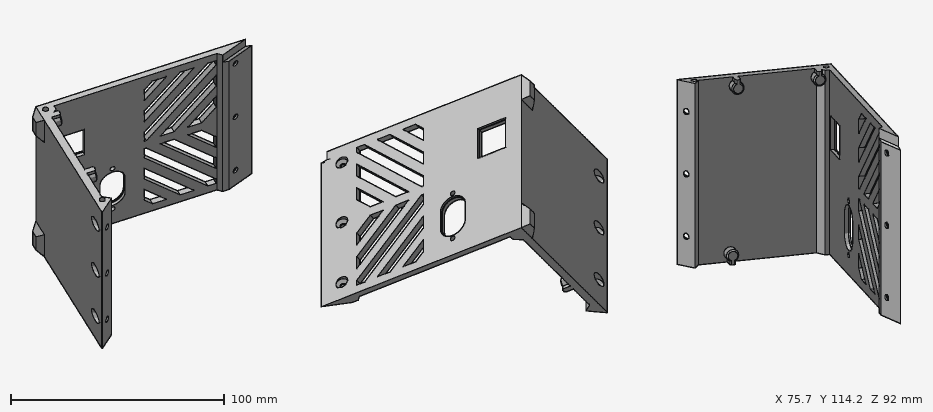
import cadquery as cq
import math

height = 92.0
mid_height = height / 2
front_length = 75.7
foot_depth = 3.0
overall_depth = 114.2
side_length = overall_depth - foot_depth

side_wall = 3.1
front_wall = 4.1
corner_block_depth = 8.1
corner_block_width = 5.4
brace_run = 3.0

wedge_angle = 20
wedge_depth = 5.1
wedge_start = 91.8
notch_setback = 3.2
notch_height = 4.8
notch_ledge_drop = 0.8

ridge_start = 66.4
ridge_peak_x = 69.2
ridge_peak_y = 8
ridge_tip_bevel = 0.3

side_screw_spacing = 36.0
front_screw_spacing = 31.1
screw_diameter = 3.0
screw_head_diameter = 6.0
screw_cone_depth = (screw_head_diameter - screw_diameter) / 2
side_screw_y = 99.8
side_screw_seat = 1.4
front_screw_x = 68.2
front_screw_angle = 45
front_screw_seat = 3.7
screw_length = 17.1

foot_width = 9.8
foot_height = 15.0

edge_hole_diameter = 2.7
edge_hole_depth = 5.9
edge_hole_y = 3.5
edge_hole_xs = (3.4, 68.3)

standoff_diameter = 6.0
standoff_top = 8.9
standoff_chamfer = 0.7
standoff_rib_width = 2.7
standoff_inset = 4.5
standoff_centres = (
    (8, height - standoff_inset),
    (48.2, height - standoff_inset),
    (50.8, standoff_inset),
)

vent_near_y = 54.5
vent_far_y = 91.5
vent_margin = 4.7
vent_web = 5.1
vent_slot_angle = 45
vent_slot_width = 5.0
vent_slot_pitch = 10.0
vent_slot_shift = 1.1
vent_slot_count = 5

lip_width = 0.5
lip_depth = 1.0
window_y = 16.6
window_z = 61.0
window_width = 14.5
window_height = 16.9
inlet_y = 38.2
inlet_z = 23.4
inlet_width = 12.9
inlet_height = 22.4
inlet_screw_diameter = 2.5
inlet_screw_spacing = 27.1

cut_margin = 5.7


def make_walls():
    """L-shaped plan outline with corner block, wedge and ridge, extruded to full height."""
    wedge_end = side_length - wedge_depth / math.tan(math.radians(wedge_angle))
    wedge_rise = wedge_depth - side_wall
    outline = [
        (0, 0),
        (front_length - ridge_tip_bevel, 0),
        (front_length, ridge_tip_bevel),
        (ridge_peak_x, ridge_peak_y),
        (ridge_start, front_wall),
        (corner_block_width + brace_run, front_wall),
        (corner_block_width, corner_block_depth),
        (side_wall, corner_block_depth),
        (side_wall, wedge_start),
        (wedge_depth, wedge_start + wedge_rise),
        (wedge_depth, wedge_end),
        (0, side_length),
    ]
    return cq.Workplane("XY").polyline(outline).close().extrude(height)


def make_wedge_notch():
    """Cutter that sets back the top of the wedge's sloped face, above a ledge that falls outward."""
    slope = math.radians(wedge_angle)
    setback = notch_setback * math.sin(slope)
    across_face = cq.Plane(
        origin=(0, side_length, height),
        xDir=(math.cos(slope), math.sin(slope), 0),
        normal=(math.sin(slope), -math.cos(slope), 0),
    )
    profile = [
        (-setback, cut_margin),
        (-setback, -notch_height),
        (0, -notch_height - notch_ledge_drop),
        (cut_margin, -notch_height - notch_ledge_drop),
        (cut_margin, cut_margin),
    ]
    face_length = wedge_depth / math.sin(slope)
    return (
        cq.Workplane(across_face)
        .workplane(offset=-cut_margin)
        .polyline(profile)
        .close()
        .extrude(face_length + 2 * cut_margin)
    )


def make_foot(z_bottom):
    """Pyramid-shaped foot with 45 degree sides on the outer face of the front wall."""
    return (
        cq.Workplane("XZ", origin=(foot_width / 2, 0, z_bottom + foot_height / 2))
        .rect(foot_width, foot_height)
        .workplane(offset=foot_depth)
        .rect(foot_width - 2 * foot_depth, foot_height - 2 * foot_depth)
        .loft()
    )


def make_standoff(x, z):
    """Round standoff with a rib running to the nearer end of the wall; the free end is chamfered."""
    toward_end = 1 if z > mid_height else -1
    rib_length = standoff_inset + cut_margin
    base = cq.Workplane("XZ", origin=(x, 0, z))
    post = base.circle(standoff_diameter / 2).extrude(-standoff_top)
    rib = (
        base.center(0, toward_end * rib_length / 2)
        .rect(standoff_rib_width, rib_length)
        .extrude(-standoff_top)
    )
    standoff = post.union(rib).faces(">Y").chamfer(standoff_chamfer)
    wall_height_band = cq.Workplane("XY").rect(2 * front_length, 2 * side_length).extrude(height)
    return standoff.intersect(wall_height_band)


def make_screw_cutter(x, y, z, direction, seat_depth):
    """Head bore, cone and shank as one revolved cutter along the given direction in plan."""
    head_radius = screw_head_diameter / 2
    shank_radius = screw_diameter / 2
    cone_end = seat_depth + screw_cone_depth
    axis = cq.Plane(origin=(x, y, z), xDir=(0, 0, 1), normal=(-direction[1], direction[0], 0))
    profile = [
        (0, -cut_margin),
        (head_radius, -cut_margin),
        (head_radius, seat_depth),
        (shank_radius, cone_end),
        (shank_radius, screw_length),
        (0, screw_length),
    ]
    return cq.Workplane(axis).polyline(profile).close().revolve(360, (0, 0), (0, 1))


def make_screw_cutters():
    """Three screws square to the wedge's sloped face and three leaning through the ridge."""
    wedge_slope = math.radians(wedge_angle)
    ridge_slope = math.radians(front_screw_angle)
    into_wedge = (math.cos(wedge_slope), math.sin(wedge_slope))
    into_ridge = (math.cos(ridge_slope), math.sin(ridge_slope))
    cutters = []
    for row in (-1, 0, 1):
        side_z = mid_height + row * side_screw_spacing
        front_z = mid_height + row * front_screw_spacing
        cutters.append(make_screw_cutter(0, side_screw_y, side_z, into_wedge, side_screw_seat))
        cutters.append(make_screw_cutter(front_screw_x, 0, front_z, into_ridge, front_screw_seat))
    return cutters


def side_plane(y, z):
    """Sketch plane on the outer side face: local x along +Y, local y along +Z, normal into the part."""
    return cq.Workplane("YZ", origin=(0, y, z))


def make_vent():
    """Upper vent panel: diagonal slots trimmed to a rectangle."""
    panel_width = vent_far_y - vent_near_y
    panel_bottom = mid_height + vent_web / 2
    panel_height = height - vent_margin - panel_bottom
    panel = side_plane((vent_near_y + vent_far_y) / 2, panel_bottom + panel_height / 2)
    slots = (
        panel.transformed(rotate=(0, 0, vent_slot_angle))
        .center(0, vent_slot_shift)
        .rarray(1.1, vent_slot_pitch, 1, vent_slot_count)
        .rect(panel_width + panel_height, vent_slot_width)
        .extrude(side_wall)
    )
    return slots.intersect(panel.rect(panel_width, panel_height).extrude(side_wall))


def make_window():
    """Rectangular opening with a shallow lip around its outer side."""
    sketch = side_plane(window_y, window_z)
    opening = sketch.rect(window_width, window_height).extrude(side_wall)
    lip = sketch.rect(window_width + 2 * lip_width, window_height + 2 * lip_width).extrude(lip_depth)
    return opening.union(lip)


def make_inlet():
    """Upright rounded opening with a shallow lip and a screw hole above and below."""
    sketch = side_plane(inlet_y, inlet_z)
    opening = sketch.slot2D(inlet_height, inlet_width, 90).extrude(side_wall)
    lip = sketch.slot2D(inlet_height + 2 * lip_width, inlet_width + 2 * lip_width, 90).extrude(lip_depth)
    screws = (
        sketch.rarray(1.1, inlet_screw_spacing, 1, 2)
        .circle(inlet_screw_diameter / 2)
        .extrude(side_wall)
    )
    return opening.union(lip).union(screws)


result = make_walls()

for foot_bottom in (0, height - foot_height):
    result = result.union(make_foot(foot_bottom))
for standoff_x, standoff_z in standoff_centres:
    result = result.union(make_standoff(standoff_x, standoff_z))

result = result.cut(make_wedge_notch())
for screw_cutter in make_screw_cutters():
    result = result.cut(screw_cutter)

upper_vent = make_vent()
lower_vent = upper_vent.mirror("XY", (0, 0, mid_height))
result = result.cut(upper_vent).cut(lower_vent)
result = result.cut(make_window()).cut(make_inlet())

edge_holes = (
    cq.Workplane("XY", origin=(0, 0, height))
    .pushPoints([(x, edge_hole_y) for x in edge_hole_xs])
    .circle(edge_hole_diameter / 2)
    .extrude(-edge_hole_depth)
)
result = result.cut(edge_holes)